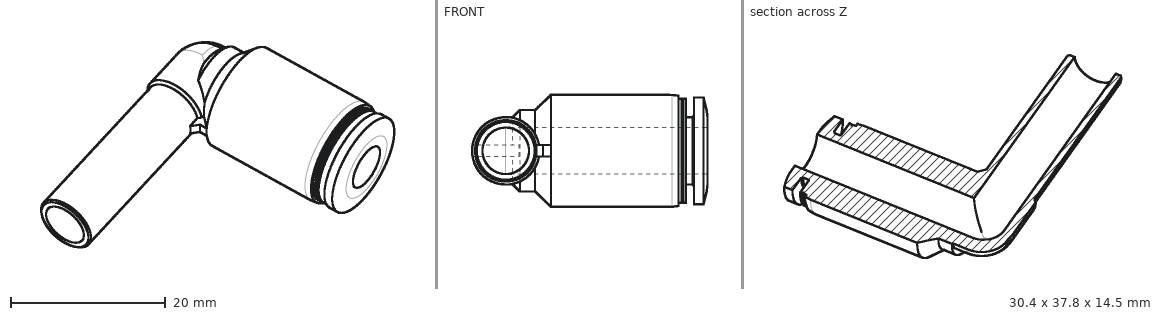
import cadquery as cq


elbow_diameter = 8.72
tube_diameter = 7.93
bore_diameter = 6.0
body_diameter = 14.5
total_width = 30.43
total_length = 37.75
elbow_radius = elbow_diameter / 2
tube_radius = tube_diameter / 2
body_radius = body_diameter / 2
bore_radius = bore_diameter / 2
socket_end = total_width - elbow_radius
tube_end = total_length - body_radius
tube_chamfer = 0.23
sleeve_end = 6.15
sleeve_chamfer = elbow_radius - tube_radius

collar_cone_start = 0.9
collar_radius = 5.3
collar_start = collar_cone_start + collar_radius - elbow_radius
collar_end = 3.8
body_start = 5.85
body_taper_start = 21.48
body_end = 22.35
body_taper = 0.1

ring_radius = 13.48 / 2
ring_end = 23.3
groove_center = 22.85
groove_half_width = 0.15
groove_depth = 0.15
neck_radius = 8.72 / 2
neck_flare = 0.2
flange_radius = 13.8 / 2
flange_start = 24.3
flange_rim_end = 25.55
flange_face_radius = 4.53
crown_mid_x = 25.85
crown_mid_radius = 5.8

rib_thickness = 1.5
rib_left = -4.23
rib_top = 5.15
rib_corner_radius = 3.78
rib_web_chamfer_x = 4.8
rib_web_end = 8.15


def make_plug():
    """Solid sleeve and tube along -Y with the round end of the elbow."""
    profile = (
        cq.Workplane("XY")
        .moveTo(0, 0)
        .lineTo(elbow_radius, 0)
        .lineTo(elbow_radius, -sleeve_end)
        .lineTo(tube_radius, -sleeve_end - sleeve_chamfer)
        .lineTo(tube_radius, -tube_end + tube_chamfer)
        .lineTo(tube_radius - tube_chamfer, -tube_end)
        .lineTo(0, -tube_end)
        .close()
    )
    return profile.revolve(360, (0, 0), (0, 1)).union(cq.Workplane("XY").sphere(elbow_radius))


def make_socket():
    """Solid of revolution about X: collar, body, grooved ring, neck and flange."""
    profile = (
        cq.Workplane("XY")
        .moveTo(0, 0)
        .lineTo(0, elbow_radius)
        .lineTo(collar_cone_start, elbow_radius)
        .lineTo(collar_start, collar_radius)
        .lineTo(collar_end, collar_radius)
        .lineTo(body_start, body_radius)
        .lineTo(body_taper_start, body_radius)
        .lineTo(body_end, body_radius - body_taper)
        .lineTo(body_end, ring_radius)
        .lineTo(groove_center - groove_half_width, ring_radius)
        .lineTo(groove_center, ring_radius - groove_depth)
        .lineTo(groove_center + groove_half_width, ring_radius)
        .lineTo(ring_end, ring_radius)
        .lineTo(ring_end, neck_radius)
        .lineTo(flange_start - neck_flare, neck_radius)
        .lineTo(flange_start, neck_radius + neck_flare)
        .lineTo(flange_start, flange_radius)
        .lineTo(flange_rim_end, flange_radius)
        .threePointArc((crown_mid_x, crown_mid_radius), (socket_end, flange_face_radius))
        .lineTo(socket_end, 0)
        .close()
    )
    return profile.revolve(360, (0, 0), (1, 0))


def make_rib():
    """Flat rib around the outer corner of the elbow and in its inner corner."""
    outline = (
        cq.Workplane("XY")
        .moveTo(rib_left, 0)
        .lineTo(rib_left, rib_top - rib_corner_radius)
        .radiusArc((rib_left + rib_corner_radius, rib_top), rib_corner_radius)
        .lineTo(body_start, rib_top)
        .lineTo(body_start, -body_radius)
        .lineTo(rib_web_chamfer_x, -body_radius)
        .lineTo(tube_radius, -rib_web_end)
        .lineTo(0, -rib_web_end)
        .lineTo(0, 0)
        .close()
    )
    return outline.extrude(rib_thickness / 2, both=True)


def make_bore():
    """Passage through both legs, turning the corner in a ball of the same size."""
    tube_bore = cq.Workplane("XZ").circle(bore_radius).extrude(tube_end)
    socket_bore = cq.Workplane("YZ").circle(bore_radius).extrude(socket_end)
    return cq.Workplane("XY").sphere(bore_radius).union(tube_bore).union(socket_bore)


result = make_plug().union(make_socket()).union(make_rib()).cut(make_bore())